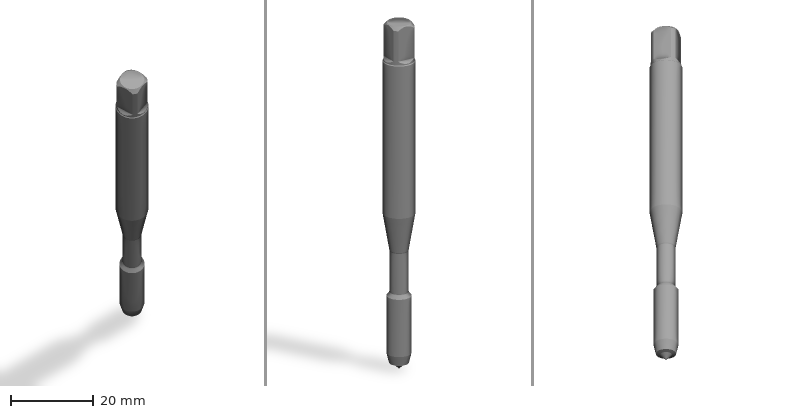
import cadquery as cq

total_length = 91.4

shank_diameter = 8.0
neck_diameter = 4.6
taper_end_diameter = 4.75
taper_end_height = 31.4
neck_top = 31.2
shank_bottom = 41.1
shank_top = 81.3

square_round_diameter = 7.7
across_flats = 6.2
flat_bottom = 82.4
top_face_diameter = 5.85
shoulder_chamfer = (shank_diameter - square_round_diameter) / 2
top_chamfer = (square_round_diameter - top_face_diameter) / 2

thread_diameter = 6.1
thread_top = 19.4
head_top = 20.7
back_cone_top = 20.4
thread_bottom = 4.3
lead_end_diameter = 4.9
lead_end_height = 1.7
point_base_diameter = 2.9
point_height = point_base_diameter / 2


def revolve_profile(points):
    """Revolve (diameter, height) points about the Z axis, closing the outline on the axis."""
    outline = [(diameter / 2, height) for diameter, height in points]
    bottom = points[0][1]
    top = points[-1][1]
    if outline[0][0] > 0:
        outline = [(0, bottom)] + outline
    outline.append((0, top))
    return cq.Workplane("XZ").polyline(outline).close().revolve(360, (0, 0), (0, 1))


def make_flat_cutter():
    """Material removed beside the +X flat; its lower end runs out outward and down at 45 degrees."""
    flat = across_flats / 2
    reach = shank_diameter
    runout = reach - flat
    profile = [
        (flat, total_length),
        (flat, flat_bottom),
        (reach, flat_bottom - runout),
        (reach, total_length),
    ]
    return cq.Workplane("XZ").polyline(profile).close().extrude(shank_diameter, both=True)


def make_shank():
    """Neck, short lead-in cone, taper, cylindrical shank and driving square."""
    shank = revolve_profile([
        (neck_diameter, head_top),
        (neck_diameter, neck_top),
        (taper_end_diameter, taper_end_height),
        (shank_diameter, shank_bottom),
        (shank_diameter, shank_top),
        (square_round_diameter, shank_top + shoulder_chamfer),
        (square_round_diameter, total_length - top_chamfer),
        (top_face_diameter, total_length),
    ])
    cutter = make_flat_cutter()
    for angle in (0, 90, 180, 270):
        shank = shank.cut(cutter.rotate((0, 0, 0), (0, 0, 1), angle))
    return shank


def make_cutting_head():
    """Thread envelope with a tapered lead, a centre point, and a back cone rising to the neck joint."""
    return revolve_profile([
        (0, 0),
        (point_base_diameter, point_height),
        (lead_end_diameter, lead_end_height),
        (thread_diameter, thread_bottom),
        (thread_diameter, thread_top),
        (neck_diameter, back_cone_top),
        (neck_diameter, head_top),
    ])


shank = make_shank()
cutting_head = make_cutting_head()
result = cq.Compound.makeCompound([shank.val(), cutting_head.val()])